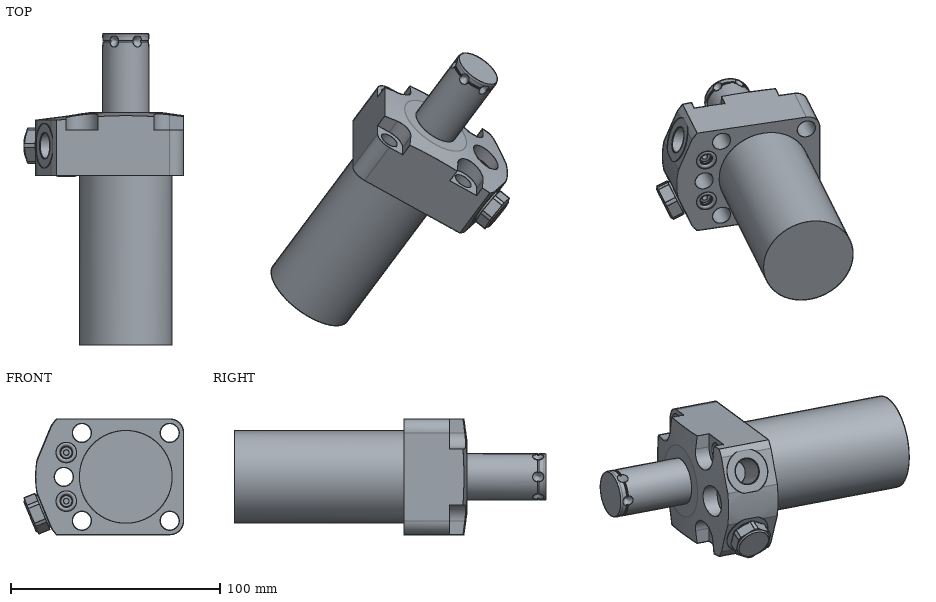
import cadquery as cq
import math


OVERALL_LENGTH = 149.0

CYLINDER_RADIUS = 22.2
CYLINDER_LENGTH = 81.0

FLANGE_SIZE = 55.5
FLANGE_HALF = FLANGE_SIZE / 2
CORNER_RADIUS = 6.7
FLANGE_TIP_RADIUS = 43.2

ROOF_HEIGHT = 30.1
ROOF_FLAT_RADIUS = 17.6
ROOF_SLOPE = 8.0
ROOF_RIM_RADIUS = 59.6

BOLT_OFFSET = 21.0
BOLT_RADIUS = 4.5
COUNTERBORE_RADIUS = 7.6
COUNTERBORE_FLOOR = 21.9
SIDE_BOLT_X = -29.7

PORT_ANGLE = 22.5
PORT_FACE_DISTANCE = 42.3
PORT_HEIGHT = 14.3
PORT_RADIUS = 6.1
PORT_CHAMFER = 0.3
PORT_DEPTH = 15.5
SPOTFACE_RADIUS = 10.7
SPOTFACE_DEPTH = 0.3

SEAL_X = -28.5
SEAL_Z = 11.6
SEAL_RECESS_RADIUS = 4.9
SEAL_RECESS_DEPTH = 1.6
SEAL_TUBE_RADIUS = 1.0
SEAL_RING_RADIUS = 4.0
SEAL_PROTRUSION = 0.3
MANIFOLD_STEP_RADIUS = 2.7
MANIFOLD_STEP_DEPTH = 3.0
MANIFOLD_PORT_RADIUS = 1.3
MANIFOLD_PORT_DEPTH = 7.5

ROD_RADIUS = 11.2
ROD_END = OVERALL_LENGTH - CYLINDER_LENGTH
ROD_CHAMFER_LENGTH = 1.0
ROD_CHAMFER_DEPTH = 0.3
GROOVE_FROM_END = 3.7
GROOVE_WIDTH = 0.7
GROOVE_DEPTH = 0.5
DIMPLE_COUNT = 6
DIMPLE_RADIUS = 2.7

HEX_ACROSS_FLATS = 17.1
HEX_CORNER_RADIUS = 9.4
HEX_BASE = 1.2
HEX_TOP = 6.9
PLUG_TOP = 7.6
PLUG_END_RADIUS = 7.7
PLUG_SHOULDER_RADIUS = 8.5

Y_DIRECTION = cq.Vector(0, 1, 0)


def y_cylinder(radius, start, end, x=0, z=0):
    """Cylinder along Y between two Y positions."""
    base = cq.Vector(x, start, z)
    return cq.Workplane(cq.Solid.makeCylinder(radius, end - start, base, Y_DIRECTION))


def spotface_plane(side):
    """Plane on the spotface of the upper (side = 1) or lower (side = -1) port, normal outward."""
    angle = math.radians(PORT_ANGLE)
    outward = cq.Vector(-math.cos(angle), 0, side * math.sin(angle))
    centre = outward * (PORT_FACE_DISTANCE - SPOTFACE_DEPTH) + cq.Vector(0, PORT_HEIGHT, 0)
    return cq.Plane(origin=centre, xDir=(0, 1, 0), normal=outward)


def make_flange():
    shoulder_x = -math.sqrt(FLANGE_TIP_RADIUS**2 - FLANGE_HALF**2)
    outline = (
        cq.Workplane("XZ")
        .moveTo(shoulder_x, -FLANGE_HALF)
        .lineTo(FLANGE_HALF, -FLANGE_HALF)
        .lineTo(FLANGE_HALF, FLANGE_HALF)
        .lineTo(shoulder_x, FLANGE_HALF)
        .threePointArc((-FLANGE_TIP_RADIUS, 0), (shoulder_x, -FLANGE_HALF))
        .close()
    )
    block = outline.extrude(-ROOF_HEIGHT).edges("|Y and >X").fillet(CORNER_RADIUS)
    rim_drop = (ROOF_RIM_RADIUS - ROOF_FLAT_RADIUS) * math.tan(math.radians(ROOF_SLOPE))
    roof = (
        cq.Workplane("XY")
        .polyline([
            (0, 0),
            (ROOF_RIM_RADIUS, 0),
            (ROOF_RIM_RADIUS, ROOF_HEIGHT - rim_drop),
            (ROOF_FLAT_RADIUS, ROOF_HEIGHT),
            (0, ROOF_HEIGHT),
        ])
        .close()
        .revolve(360, (0, 0), (0, 1))
    )
    return block.intersect(roof)


def cut_counterbore_opening(body, x_start, x_end, side):
    """Open a corner counterbore out through the side of the flange at +Z (side = 1) or -Z (side = -1)."""
    depth = ROOF_HEIGHT - COUNTERBORE_FLOOR
    opening = cq.Workplane("XY").box(x_end - x_start, depth, FLANGE_HALF, centered=(False, False, True))
    z = side * (BOLT_OFFSET + FLANGE_HALF / 2)
    return body.cut(opening.translate((x_start, COUNTERBORE_FLOOR, z)))


def cut_relieved_corner(body, side):
    """Open a +X corner counterbore out through the +X side, leaving a flat inner wall."""
    width = FLANGE_HALF
    depth = ROOF_HEIGHT - COUNTERBORE_FLOOR
    opening = cq.Workplane("XY").box(width, depth, width, centered=(False, False, True))
    z = side * (BOLT_OFFSET - COUNTERBORE_RADIUS + width / 2)
    return body.cut(opening.translate((BOLT_OFFSET, COUNTERBORE_FLOOR, z)))


def cut_bolt_holes(body):
    """Four corner holes with counterbores open to the outside, and one hole near the tip."""
    corners = [(sx * BOLT_OFFSET, sz * BOLT_OFFSET) for sx in (-1, 1) for sz in (-1, 1)]
    for x, z in corners + [(SIDE_BOLT_X, 0)]:
        body = body.cut(y_cylinder(BOLT_RADIUS, 0, ROOF_HEIGHT, x, z))
        body = body.cut(y_cylinder(COUNTERBORE_RADIUS, COUNTERBORE_FLOOR, ROOF_HEIGHT, x, z))
    for side in (1, -1):
        for x in (-BOLT_OFFSET, BOLT_OFFSET):
            body = cut_counterbore_opening(body, x - COUNTERBORE_RADIUS, x + COUNTERBORE_RADIUS, side)
        body = cut_relieved_corner(body, side)
    return body


def cut_ports(body):
    """Flats on the rounded side, each with a shallow spotface and a blind port."""
    for side in (1, -1):
        plane = spotface_plane(side)
        face = cq.Workplane(plane)
        flat_size = 2 * FLANGE_SIZE
        flat = face.workplane(offset=SPOTFACE_DEPTH).rect(flat_size, flat_size)
        body = body.cut(flat.extrude(FLANGE_HALF))
        body = body.cut(face.circle(SPOTFACE_RADIUS).extrude(SPOTFACE_RADIUS))
        body = body.cut(face.circle(PORT_RADIUS).extrude(-PORT_DEPTH))
        mouth = cq.Solid.makeCone(
            PORT_RADIUS + PORT_CHAMFER, PORT_RADIUS, PORT_CHAMFER, plane.origin, -plane.zDir
        )
        body = body.cut(cq.Workplane(mouth))
    return body


def add_face_seals(body):
    """Manifold ports, each with a rounded sealing ring standing slightly proud of the face."""
    ring_y = SEAL_TUBE_RADIUS - SEAL_PROTRUSION
    for z in (SEAL_Z, -SEAL_Z):
        body = body.cut(y_cylinder(SEAL_RECESS_RADIUS, 0, SEAL_RECESS_DEPTH, SEAL_X, z))
        body = body.cut(y_cylinder(MANIFOLD_STEP_RADIUS, 0, MANIFOLD_STEP_DEPTH, SEAL_X, z))
        body = body.cut(y_cylinder(MANIFOLD_PORT_RADIUS, 0, MANIFOLD_PORT_DEPTH, SEAL_X, z))
        ring = cq.Solid.makeTorus(
            SEAL_RING_RADIUS, SEAL_TUBE_RADIUS, cq.Vector(SEAL_X, ring_y, z), Y_DIRECTION
        )
        body = body.union(cq.Workplane(ring))
    return body


def make_housing():
    body = make_flange().union(y_cylinder(CYLINDER_RADIUS, -CYLINDER_LENGTH, 0))
    return add_face_seals(cut_ports(cut_bolt_holes(body)))


def make_rod():
    """Rod standing on the roof, with a grooved end and a ring of conical dimples."""
    groove_y = ROD_END - GROOVE_FROM_END
    rod = (
        cq.Workplane("XY")
        .polyline([
            (0, ROOF_HEIGHT),
            (ROD_RADIUS, ROOF_HEIGHT),
            (ROD_RADIUS, groove_y - GROOVE_WIDTH / 2),
            (ROD_RADIUS - GROOVE_DEPTH, groove_y - GROOVE_WIDTH / 2),
            (ROD_RADIUS - GROOVE_DEPTH, groove_y + GROOVE_WIDTH / 2),
            (ROD_RADIUS, groove_y + GROOVE_WIDTH / 2),
            (ROD_RADIUS, ROD_END - ROD_CHAMFER_LENGTH),
            (ROD_RADIUS - ROD_CHAMFER_DEPTH, ROD_END),
            (0, ROD_END),
        ])
        .close()
        .revolve(360, (0, 0), (0, 1))
    )
    for index in range(DIMPLE_COUNT):
        angle = 2 * math.pi * index / DIMPLE_COUNT
        inward = cq.Vector(-math.cos(angle), 0, -math.sin(angle))
        mouth = cq.Vector(0, groove_y, 0) - inward * ROD_RADIUS
        dimple = cq.Solid.makeCone(DIMPLE_RADIUS, 0, DIMPLE_RADIUS, mouth, inward)
        rod = rod.cut(cq.Workplane(dimple))
    return rod


def make_plug():
    """Hexagon plug with tapered ends, seated in the lower port with its shank filling the bore."""
    plane = spotface_plane(-1)
    hexagon_diameter = HEX_ACROSS_FLATS / math.cos(math.pi / 6)
    hex_height = HEX_TOP - HEX_BASE
    hex_plane = cq.Workplane(plane).workplane(offset=HEX_BASE)
    hexagon = hex_plane.transformed(rotate=(0, 0, 30)).polygon(6, hexagon_diameter).extrude(hex_height)
    head = hexagon.intersect(hex_plane.circle(HEX_CORNER_RADIUS).extrude(hex_height))
    base = cq.Solid.makeCone(PLUG_END_RADIUS, PLUG_SHOULDER_RADIUS, HEX_BASE, plane.origin, plane.zDir)
    cap_start = plane.origin + plane.zDir * HEX_TOP
    cap = cq.Solid.makeCone(
        PLUG_SHOULDER_RADIUS, PLUG_END_RADIUS, PLUG_TOP - HEX_TOP, cap_start, plane.zDir
    )
    shank = cq.Workplane(plane).circle(PORT_RADIUS).extrude(-PORT_DEPTH)
    return head.union(cq.Workplane(base)).union(cq.Workplane(cap)).union(shank)


housing = make_housing()
rod = make_rod()
plug = make_plug()

result = cq.Compound.makeCompound([
    housing.solids().val(),
    rod.solids().val(),
    plug.solids().val(),
])